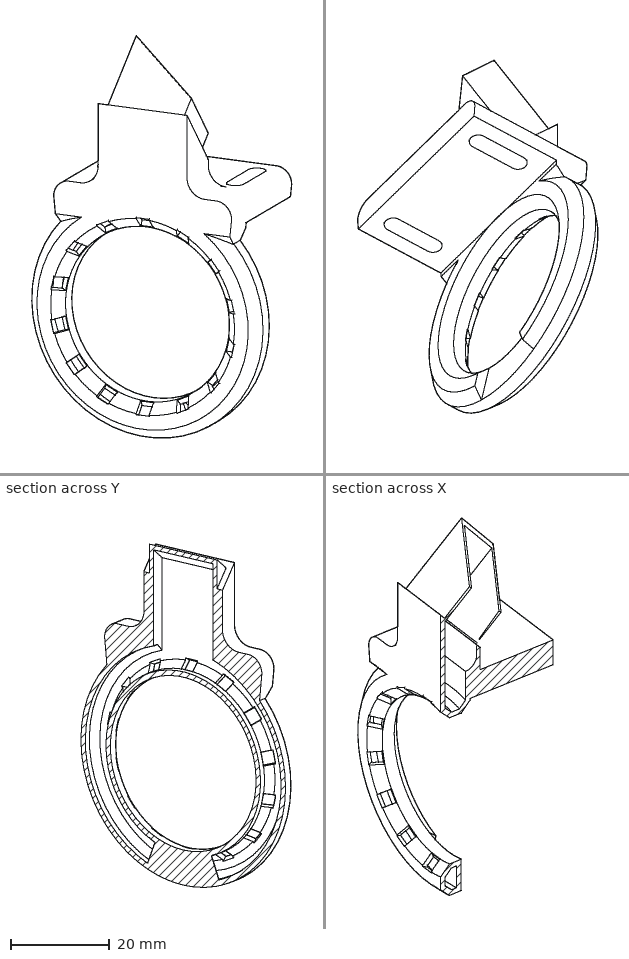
import math

import cadquery as cq


ring_radius = 26.0
bore_radius = 18.4
ring_depth = 7.5
ring_chamfer = 2.25
ring_wall = 1.25
cavity_chamfer = ring_chamfer - ring_wall * (2 - math.sqrt(2))

window_count = 14
window_width = 2.9
window_front_radius = 20.8
window_inner_radius = 18.55
window_back = 2.3
window_rear_tilt = 25.0
window_flare = 30.0
window_reach = 2.4

recess_half_angle = 20.0
recess_front = ring_depth - ring_chamfer
closure_half_angle = 21.5
closure_front = recess_front - ring_wall

plate_half_width = 20.0
plate_foot_half_width = 19.4
plate_top = 26.6
plate_bottom = 20.45
plate_depth = 28.31
plate_corner = 3.5
block_bottom = 17.1

slot_offset = 14.5
slot_width = 3.7
slot_length = 13.7
slot_center_y = 18.35

neck_half_width = 10.0
neck_depth = 10.0
neck_top = 43.85
neck_fillet = 4.0
neck_slope = 50.0

tube_half_width = 8.6
tube_height = 12.4
tube_long_side = 18.3
tube_short_side = 5.2
tube_setback = 1.55
tube_side_wall = 1.15
tube_wall = 0.85

duct_wall = 1.25
duct_back = 9.0
duct_floor = 27.6
duct_outlet = 22.0
throat_start_y = 14.7
throat_end_y = 10.0
throat_slope = 44.0

slope_cos = math.cos(math.radians(neck_slope))
slope_sin = math.sin(math.radians(neck_slope))


def at_slope(down, out):
    """Point (y, z) a distance down the sloped neck face from its top edge, and out from it."""
    return (down * slope_cos + out * slope_sin, neck_top - down * slope_sin + out * slope_cos)


def side_profile():
    """Workplane with local X along Y and local Y along Z; extrusions run along X."""
    return cq.Workplane("YZ")


def chamfered_ring(inner, outer, front, back, chamfer):
    """Ring about the Y axis with an octagonal section."""
    return (
        cq.Workplane("XY")
        .moveTo(inner + chamfer, front)
        .lineTo(outer - chamfer, front)
        .lineTo(outer, front + chamfer)
        .lineTo(outer, back - chamfer)
        .lineTo(outer - chamfer, back)
        .lineTo(inner + chamfer, back)
        .lineTo(inner, back - chamfer)
        .lineTo(inner, front + chamfer)
        .close()
        .revolve(360, (0, 0, 0), (0, 1, 0))
    )


def extrude_back(sketch, depth):
    """Extrude an upright outline toward +Y."""
    return sketch.extrude(-depth)


def make_plate():
    """Plate with rounded upper edges and sides that lean inward below them."""
    corner_z = plate_top - plate_corner
    corner_x = plate_half_width - plate_corner
    bend = plate_corner * math.sqrt(0.5)
    outline = (
        cq.Workplane("XZ")
        .moveTo(-plate_foot_half_width, block_bottom)
        .lineTo(-plate_half_width, corner_z)
        .threePointArc((-corner_x - bend, corner_z + bend), (-corner_x, plate_top))
        .lineTo(corner_x, plate_top)
        .threePointArc((corner_x + bend, corner_z + bend), (plate_half_width, corner_z))
        .lineTo(plate_foot_half_width, block_bottom)
        .close()
    )
    chamfer_top = block_bottom + ring_chamfer
    section = (
        side_profile()
        .moveTo(0, plate_top)
        .lineTo(0, chamfer_top)
        .lineTo(ring_chamfer, block_bottom)
        .lineTo(ring_depth - ring_chamfer, block_bottom)
        .lineTo(ring_depth, chamfer_top)
        .lineTo(ring_depth, plate_bottom)
        .lineTo(plate_depth, plate_bottom)
        .lineTo(plate_depth, plate_top)
        .close()
        .extrude(plate_half_width, both=True)
    )
    slots = (
        cq.Workplane("XY")
        .workplane(offset=plate_bottom)
        .pushPoints([(-slot_offset, slot_center_y), (slot_offset, slot_center_y)])
        .slot2D(slot_length, slot_width, 90)
        .extrude(plate_top - plate_bottom)
    )
    return extrude_back(outline, plate_depth).intersect(section).cut(slots)


def make_neck():
    """Neck with concave fillets onto the plate and a sloped rear face."""
    foot = neck_half_width + neck_fillet
    fillet_z = plate_top + neck_fillet
    bend = neck_fillet * (1 - math.sqrt(0.5))
    outline = (
        cq.Workplane("XZ")
        .moveTo(-foot, plate_top)
        .threePointArc((-neck_half_width - bend, plate_top + bend), (-neck_half_width, fillet_z))
        .lineTo(-neck_half_width, neck_top)
        .lineTo(neck_half_width, neck_top)
        .lineTo(neck_half_width, fillet_z)
        .threePointArc((neck_half_width + bend, plate_top + bend), (foot, plate_top))
        .close()
    )
    section = (
        side_profile()
        .moveTo(0, plate_top)
        .lineTo(0, neck_top)
        .lineTo(neck_depth, neck_top - neck_depth * slope_sin / slope_cos)
        .lineTo(neck_depth, plate_top)
        .close()
        .extrude(foot, both=True)
    )
    return extrude_back(outline, neck_depth).intersect(section)


def make_tube():
    """Inlet tube, solid, its open end cut at a slant across X."""
    base_y, base_z = at_slope(tube_setback, 0)
    plane = cq.Plane(
        origin=(0, base_y, base_z),
        xDir=(1, 0, 0),
        normal=(0, -slope_cos, slope_sin),
    )
    return (
        cq.Workplane(plane)
        .moveTo(-tube_half_width, 0)
        .lineTo(-tube_half_width, tube_long_side)
        .lineTo(tube_half_width, tube_short_side)
        .lineTo(tube_half_width, 0)
        .close()
        .extrude(-tube_height)
    )


def make_duct():
    """Air passage from the open tube end through the neck into the ring."""
    upper = tube_setback + tube_wall
    lower = tube_setback + tube_height - tube_wall
    upper_end = at_slope(upper, tube_long_side)
    lower_end = at_slope(lower, tube_long_side)
    tube_rise = slope_cos / slope_sin
    upper_turn_z = upper_end[1] - (upper_end[0] - duct_wall) * tube_rise
    throat_start_z = lower_end[1] - (lower_end[0] - throat_start_y) * tube_rise
    throat_angle = math.radians(throat_slope)
    throat_end_z = throat_start_z - (throat_start_y - throat_end_y) * math.tan(throat_angle)

    bend_radius = (throat_end_y - duct_back) / (1 - math.sin(throat_angle))
    bend_center_y = duct_back + bend_radius
    bend_center_z = throat_end_z - bend_radius * math.cos(throat_angle)
    mid_angle = (math.pi / 2 + throat_angle + math.pi) / 2
    bend_middle = (
        bend_center_y + bend_radius * math.cos(mid_angle),
        bend_center_z + bend_radius * math.sin(mid_angle),
    )

    outlet_back = ring_depth - ring_wall
    floor_radius = duct_back - outlet_back
    floor_bend = floor_radius * math.sqrt(0.5)
    floor_middle = (outlet_back + floor_bend, duct_floor + floor_radius - floor_bend)
    return (
        side_profile()
        .moveTo(*upper_end)
        .lineTo(duct_wall, upper_turn_z)
        .lineTo(duct_wall, duct_outlet)
        .lineTo(outlet_back, duct_outlet)
        .lineTo(outlet_back, duct_floor)
        .threePointArc(floor_middle, (duct_back, duct_floor + floor_radius))
        .lineTo(duct_back, bend_center_z)
        .threePointArc(bend_middle, (throat_end_y, throat_end_z))
        .lineTo(throat_start_y, throat_start_z)
        .lineTo(*lower_end)
        .close()
        .extrude(tube_half_width - tube_side_wall, both=True)
    )


def make_windows():
    """Slots that flare outward from the front cone of the bore into the ring cavity."""
    flared_radius = window_front_radius + window_reach * math.tan(math.radians(window_flare))
    rear_rise = (flared_radius - window_inner_radius) * math.tan(math.radians(window_rear_tilt))
    window = (
        side_profile()
        .moveTo(0, window_front_radius)
        .lineTo(window_reach, flared_radius)
        .lineTo(window_back + rear_rise, flared_radius)
        .lineTo(window_back, window_inner_radius)
        .lineTo(window_back, bore_radius - ring_wall)
        .lineTo(0, bore_radius - ring_wall)
        .close()
        .extrude(window_width / 2, both=True)
    )
    windows = window
    for index in range(1, window_count):
        windows = windows.union(window.rotate((0, 0, 0), (0, 1, 0), index * 360 / window_count))
    return windows


def lower_sector(half_angle, front):
    """Wedge below the ring axis, from a given depth to the back of the ring."""
    reach = 2 * ring_radius
    half_width = reach * math.tan(math.radians(half_angle))
    outline = (
        cq.Workplane("XZ", origin=(0, front, 0))
        .lineTo(-half_width, -reach)
        .lineTo(half_width, -reach)
        .close()
    )
    return extrude_back(outline, ring_depth - front)


def make_cavity():
    """Hollow of the ring, shallower where the back of the ring is recessed."""
    cavity = chamfered_ring(
        bore_radius + ring_wall,
        ring_radius - ring_wall,
        ring_wall,
        ring_depth - ring_wall,
        cavity_chamfer,
    )
    return cavity.cut(lower_sector(closure_half_angle, closure_front))


ring = chamfered_ring(bore_radius, ring_radius, 0, ring_depth, ring_chamfer)
ring_opening = extrude_back(cq.Workplane("XZ").circle(ring_radius - ring_chamfer), ring_depth)
body = make_plate().cut(ring_opening).union(ring).union(make_neck()).union(make_tube())
body = body.cut(lower_sector(recess_half_angle, recess_front))
result = body.cut(make_duct()).cut(make_cavity()).cut(make_windows())